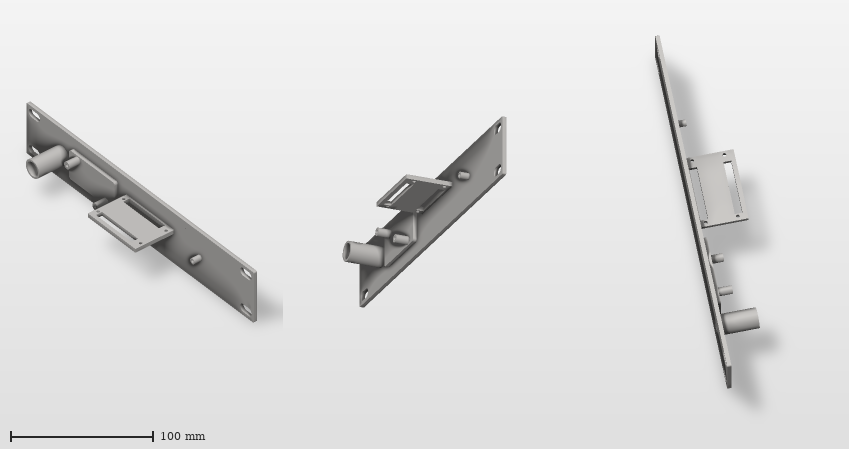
import cadquery as cq

panel_width = 254.0
panel_height = 44.5
panel_thickness = 3.0
panel_corner_radius = 1.0
total_depth = 38.0

mount_slot_length = 12.7
mount_slot_height = 6.9
mount_slot_x = 118.0
mount_slot_z = 16.0

tube_x = -86.9
tube_outer_diameter = 15.0
tube_bore = 12.0
tube_length = 27.0

pad_x = -50.0
pad_width = 50.8
pad_height = 25.5
pad_thickness = 3.0
pad_corner_radius = 2.0
post_offset_x = 15.7
post_offset_z = 9.0
post_diameter = 6.0
post_length = 10.0
screw_bore = 2.5

shelf_x = 11.5
shelf_bottom_z = 4.0
shelf_width = 53.0
shelf_thickness = 3.3
shelf_depth = total_depth - panel_thickness
shelf_slot_length = 40.0
shelf_slot_shift = -1.5
shelf_slot_width = 5.5
shelf_slot_distances = (4.3, 29.0)
shelf_hole_diameter = 2.5
shelf_hole_spacing = 47.2
shelf_hole_distances = (4.8, 28.0)

standoff_x = 66.8
standoff_diameter = 4.8
standoff_length = 6.9


def plane_at(y):
    """Sketch plane facing -Y at the given y; local axes are X and Z."""
    return cq.Workplane("XZ", origin=(0, y, 0))


def cylinder(x, z, y, diameter, length):
    """Cylinder starting at y and growing toward -Y."""
    return plane_at(y).center(x, z).circle(diameter / 2).extrude(length)


def hollow_post(x, z, y, diameter, length):
    """Post standing on a face, with a screw bore down to that face."""
    return cylinder(x, z, y, diameter, length).cut(cylinder(x, z, y, screw_bore, length))


def make_panel():
    panel = plane_at(panel_thickness).rect(panel_width, panel_height).extrude(panel_thickness)
    panel = panel.edges("|Y").fillet(panel_corner_radius)
    slots = (
        plane_at(panel_thickness)
        .rect(2 * mount_slot_x, 2 * mount_slot_z, forConstruction=True)
        .vertices()
        .slot2D(mount_slot_length, mount_slot_height)
        .extrude(panel_thickness)
    )
    return panel.cut(slots)


def make_pad():
    pad = plane_at(0).center(pad_x, 0).rect(pad_width, pad_height).extrude(pad_thickness)
    pad = pad.edges("|Y").fillet(pad_corner_radius)
    for side in (-1, 1):
        x = pad_x + side * post_offset_x
        z = -side * post_offset_z
        pad = pad.union(hollow_post(x, z, -pad_thickness, post_diameter, post_length))
    return pad


def make_shelf():
    base = cq.Workplane("XY", origin=(shelf_x, 0, shelf_bottom_z))
    shelf = base.center(0, -shelf_depth / 2).rect(shelf_width, shelf_depth).extrude(shelf_thickness)
    slot_points = [(shelf_slot_shift, -distance) for distance in shelf_slot_distances]
    slots = (
        cq.Workplane("XY", origin=(shelf_x, 0, shelf_bottom_z))
        .pushPoints(slot_points)
        .rect(shelf_slot_length, shelf_slot_width)
        .extrude(shelf_thickness)
    )
    hole_points = [
        (side * shelf_hole_spacing / 2, -distance)
        for side in (-1, 1)
        for distance in shelf_hole_distances
    ]
    holes = (
        cq.Workplane("XY", origin=(shelf_x, 0, shelf_bottom_z))
        .pushPoints(hole_points)
        .circle(shelf_hole_diameter / 2)
        .extrude(shelf_thickness)
    )
    return shelf.cut(slots).cut(holes)


tube = cylinder(tube_x, 0, 0, tube_outer_diameter, tube_length)
tube_opening = cylinder(tube_x, 0, panel_thickness, tube_bore, panel_thickness + tube_length)
standoff = hollow_post(standoff_x, 0, 0, standoff_diameter, standoff_length)

result = make_panel().union(tube).cut(tube_opening)
result = result.union(make_pad()).union(make_shelf()).union(standoff)